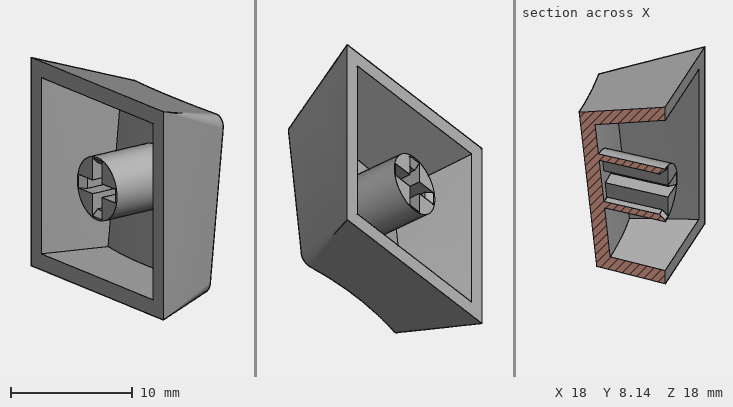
import cadquery as cq
import math

base_size = 18.0
base_corner_radius = 0.009
opening_size = 15.23

top_width = 12.82
top_length = 15.12
top_corner_radius = 0.97
top_tilt = 5.8
top_center_z = -1.28
rim_height = 7.52
dish_radius = 32.4
dish_depth = 0.72

roof_thickness = 1.35
cavity_top_width = 10.9
cavity_top_length = 12.87
cavity_top_center_z = -1.08

stem_radius = 2.7
socket_span = 5.04
socket_lead_in = 0.5
upright_arm_width = 1.26
level_arm_width = 1.19

base_plane = cq.Plane(origin=(0, 0, 0), xDir=(1, 0, 0), normal=(0, 1, 0))


def tilted_plane(height, center_z):
    """Plane parallel to the touch face, at the given Y above the given Z."""
    tilt = math.radians(top_tilt)
    return cq.Plane(
        origin=(0, height, center_z),
        xDir=(1, 0, 0),
        normal=(0, math.cos(tilt), -math.sin(tilt)),
    )


def rounded_rectangle(plane, width, length, radius):
    outline = cq.Sketch().rect(width, length).vertices().fillet(radius).reset()
    return outline.moved(plane.location).faces().vals()[0].outerWire()


def rectangle(plane, width, length):
    return cq.Workplane(plane).rect(width, length).wires().val()


def dish_tool(floor_height):
    """Cylinder along the tilted length whose lowest line is the dish floor."""
    floor = tilted_plane(floor_height, top_center_z)
    axis_origin = floor.toWorldCoords((0, 0, dish_radius))
    axis = cq.Plane(origin=axis_origin, xDir=(1, 0, 0), normal=floor.yDir)
    return cq.Workplane(axis).circle(dish_radius).extrude(base_size, both=True)


top_plane = tilted_plane(rim_height, top_center_z)
body = cq.Workplane(cq.Solid.makeLoft([
    rounded_rectangle(base_plane, base_size, base_size, base_corner_radius),
    rounded_rectangle(top_plane, top_width, top_length, top_corner_radius),
], True))
dish_height = rim_height - dish_depth
body = body.cut(dish_tool(dish_height))

roof_tool = dish_tool(dish_height - roof_thickness)
cavity_plane = tilted_plane(rim_height - roof_thickness, cavity_top_center_z)
cavity = cq.Workplane(cq.Solid.makeLoft([
    rectangle(base_plane, opening_size, opening_size),
    rectangle(cavity_plane, cavity_top_width, cavity_top_length),
], True)).cut(roof_tool)

stem = (
    cq.Workplane(base_plane)
    .circle(stem_radius).extrude(rim_height)
    .cut(dish_tool(dish_height - roof_thickness / 2))
)


def socket_arm(width, angle):
    """One bar of the cross, ending at the roof, with chamfered ends at its mouth."""
    inner_span = socket_span - 2 * socket_lead_in
    mouth = cq.Workplane(base_plane)
    lead_in = (
        mouth.rect(socket_span, width)
        .workplane(offset=socket_lead_in).rect(inner_span, width)
        .loft(ruled=True)
    )
    slot = mouth.rect(inner_span, width).extrude(rim_height)
    return slot.union(lead_in).rotate((0, 0, 0), (0, 1, 0), angle).cut(roof_tool)


result = body.cut(cavity).union(stem)
for arm_width, arm_angle in ((level_arm_width, 0), (upright_arm_width, 90)):
    result = result.cut(socket_arm(arm_width, arm_angle))